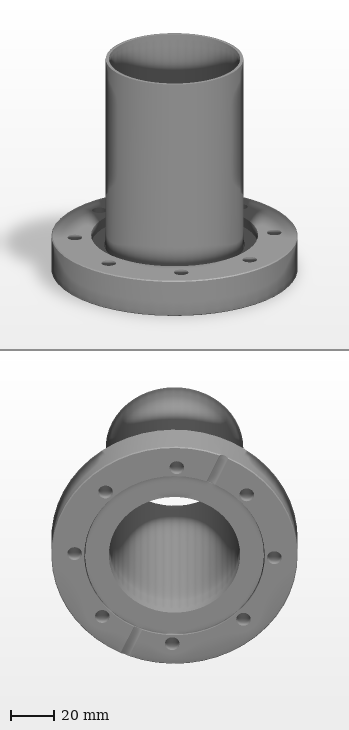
import cadquery as cq

flange_diameter = 113.5
flange_thickness = 17.5
overall_height = 105.0
edge_chamfer = 0.5

tube_outer_diameter = 63.5
tube_inner_diameter = 60.5

insert_diameter = 82.4
insert_top = 12.7
weld_groove_diameter = 64.7
weld_groove_depth = 2.3
tube_seat_height = 6.8

lip_bore_diameter = 77.0
recess_diameter = 83.2

leak_groove_width = 4.3
leak_groove_depth = 0.8

bolt_count = 8
bolt_circle_diameter = 92.0
bolt_hole_diameter = 6.7
first_bolt_angle = 180.0 / bolt_count

insert_bottom = leak_groove_depth


def disc(diameter, bottom, top):
    """Solid cylinder about the Z axis between two heights."""
    return cq.Workplane("XY").workplane(offset=bottom).circle(diameter / 2).extrude(top - bottom)


def make_leak_groove():
    """Cutter for the groove, an arc segment running the full width of the flange."""
    half_width = leak_groove_width / 2
    return (
        cq.Workplane("YZ")
        .moveTo(-half_width, 0)
        .threePointArc((0, leak_groove_depth), (half_width, 0))
        .close()
        .extrude(flange_diameter / 2, both=True)
    )


def make_rotatable_ring():
    """Bolted outer ring with a recess below an inward lip."""
    ring = disc(flange_diameter, 0, flange_thickness).edges().chamfer(edge_chamfer)
    ring = ring.cut(disc(lip_bore_diameter, 0, flange_thickness))
    ring = ring.cut(disc(recess_diameter, 0, insert_top))
    bolt_holes = (
        cq.Workplane("XY")
        .polarArray(bolt_circle_diameter / 2, first_bolt_angle, 360, bolt_count)
        .circle(bolt_hole_diameter / 2)
        .extrude(flange_thickness)
    )
    return ring.cut(bolt_holes).cut(make_leak_groove())


def make_insert():
    """Inner ring with a seat for the tube and a weld groove around it."""
    insert = disc(insert_diameter, insert_bottom, insert_top)
    insert = insert.cut(disc(tube_inner_diameter, insert_bottom, insert_top))
    insert = insert.cut(disc(tube_outer_diameter, tube_seat_height, insert_top))
    groove_bottom = insert_top - weld_groove_depth
    return insert.cut(disc(weld_groove_diameter, groove_bottom, insert_top))


def make_tube():
    """Plain tube standing on the seat of the insert."""
    tube = disc(tube_outer_diameter, tube_seat_height, overall_height)
    return tube.cut(disc(tube_inner_diameter, tube_seat_height, overall_height))


rotatable_ring = make_rotatable_ring()
insert = make_insert()
tube = make_tube()

result = cq.Compound.makeCompound([rotatable_ring.val(), insert.val(), tube.val()])